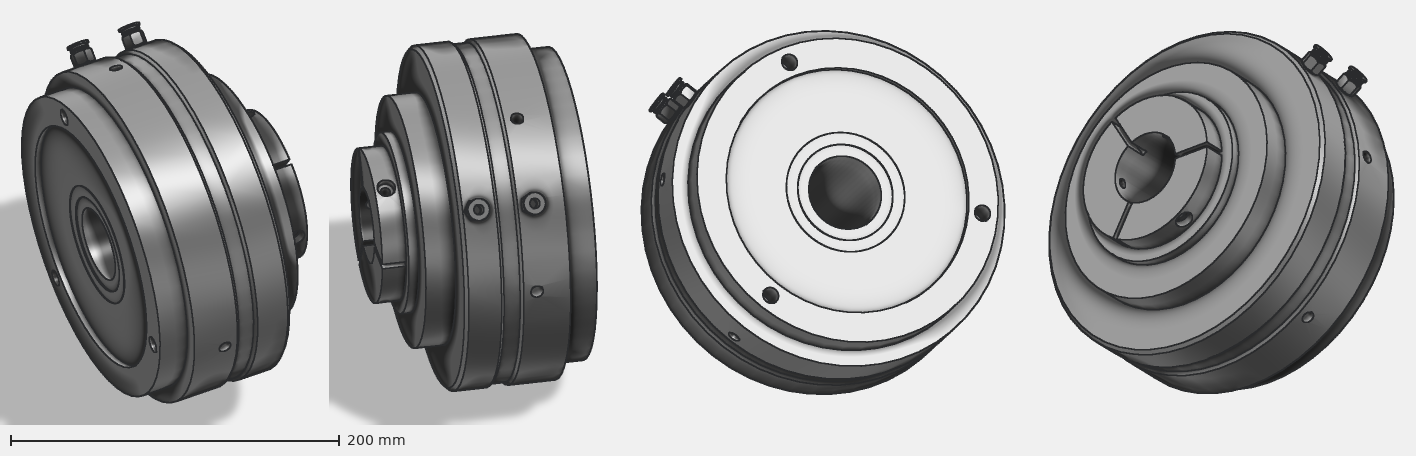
import cadquery as cq
import math


third_turn = 120
sixth_turn = 60
cut_clearance = 2.1

main_radius = 105.9
groove_radius = 104.0
front_boss_radius = 96.0
rear_boss_radius = 77.3
rear_collar_radius = 55.5
front_recess_radius = 77.3
bearing_radius = 37.7

front_boss_end = 18.5
groove_start = 49.3
groove_end = 59.3
main_end = 83.9
rear_boss_end = 102.3
rear_collar_end = 108.5
groove_chamfer = main_radius - groove_radius
rear_chamfer = 2.3

recess_depth = 4.0
bearing_set_back = 0.5
hub_set_back = 0.8

hole_phase = 115.4
mounting_angles = [hole_phase + third_turn * i for i in range(3)]
mounting_circle_radius = 86.2
mounting_hole_diameter = 10.0
mounting_hole_depth = front_boss_end
port_radius = 3.8
port_bottom_radius = 91.0
port_tip_length = 2.1
front_port_y = 39.2
rear_port_y = 74.0
open_port_angles = mounting_angles + [hole_phase + sixth_turn]

hub_outer_radius = 30.3
bore_radius = 23.0
clamp_radius = 47.5
clamp_end = 123.2
clamp_phase = -0.7
slit_width = 3.2
screw_head_radius = 5.5
screw_radius = 3.0
screw_seat_radius = 41.7

fitting_angle = hole_phase + sixth_turn / 2
hex_corner_radius = 7.0
hex_bottom = 106.7
hex_top = 115.0
hex_corner_chamfer = 0.8
neck_radius = 4.9
ring_radius = 5.7
ring_bottom = 116.3
ring_top = 117.3
cap_radius = 6.8
cap_bottom = 118.8
cap_top = 120.0
tube_hole_diameter = 6.1


def turned(outline, plane="XY"):
    """Revolve (radius, height) points about the plane's vertical axis: Y for "XY", Z for "XZ"."""
    return cq.Workplane(plane).polyline(outline).close().revolve(360, (0, 0, 0), (0, 1, 0))


def radial_plane(angle, y):
    """Plane through the Y axis at height y, facing outward at the angle; its local x runs along +Y."""
    a = math.radians(angle)
    return cq.Plane(origin=(0, y, 0), xDir=(0, 1, 0), normal=(math.cos(a), 0, math.sin(a)))


def radial_cylinder(angle, y, radius, start, end):
    """Cylinder pointing outward from the Y axis, between two distances from it."""
    return cq.Workplane(radial_plane(angle, y)).workplane(offset=start).circle(radius).extrude(end - start)


def port_hole(angle, y):
    """Drilled radial hole with a conical bottom."""
    bore = radial_cylinder(angle, y, port_radius, port_bottom_radius, main_radius + cut_clearance)
    tip = cq.Solid.makeCone(0, port_radius, port_tip_length)
    tip_start = port_bottom_radius - port_tip_length
    tip_plane = cq.Workplane(radial_plane(angle, y)).workplane(offset=tip_start).plane
    return bore.union(cq.Workplane(tip.moved(cq.Location(tip_plane))))


def make_housing():
    bearing_face = recess_depth + bearing_set_back
    body = turned([
        (hub_outer_radius, bearing_face),
        (bearing_radius, bearing_face),
        (bearing_radius, recess_depth),
        (front_recess_radius, recess_depth),
        (front_recess_radius, 0),
        (front_boss_radius, 0),
        (front_boss_radius, front_boss_end),
        (main_radius, front_boss_end),
        (main_radius, groove_start - groove_chamfer),
        (groove_radius, groove_start),
        (groove_radius, groove_end),
        (main_radius, groove_end + groove_chamfer),
        (main_radius, main_end - rear_chamfer),
        (main_radius - rear_chamfer, main_end),
        (rear_boss_radius, main_end),
        (rear_boss_radius, rear_boss_end),
        (rear_collar_radius, rear_boss_end),
        (rear_collar_radius, rear_collar_end),
        (hub_outer_radius, rear_collar_end),
    ]).rotate((0, 0, 0), (0, 1, 0), -hole_phase)

    for angle in mounting_angles:
        a = math.radians(angle)
        hole = cq.Solid.makeCylinder(
            mounting_hole_diameter / 2,
            mounting_hole_depth,
            cq.Vector(mounting_circle_radius * math.cos(a), 0, mounting_circle_radius * math.sin(a)),
            cq.Vector(0, 1, 0),
        )
        body = body.cut(cq.Workplane(hole))

    ports = [(angle, front_port_y) for angle in open_port_angles]
    ports += [(fitting_angle, front_port_y), (fitting_angle, rear_port_y)]
    for angle, y in ports:
        body = body.cut(port_hole(angle, y))
    return body


def make_hub():
    hub_front = recess_depth + bearing_set_back + hub_set_back
    body = turned([
        (bore_radius, hub_front),
        (hub_outer_radius, hub_front),
        (hub_outer_radius, rear_collar_end),
        (clamp_radius, rear_collar_end),
        (clamp_radius, clamp_end),
        (bore_radius, clamp_end),
    ])

    clamp_length = clamp_end - rear_collar_end
    clamp_mid = rear_collar_end + clamp_length / 2
    clamp_reach = clamp_radius + cut_clearance
    for i in range(3):
        screw_angle = clamp_phase + third_turn * i
        slit_angle = screw_angle + sixth_turn
        slit = (
            cq.Workplane(radial_plane(slit_angle, clamp_mid))
            .rect(clamp_length, slit_width)
            .extrude(clamp_reach)
        )
        body = body.cut(slit)
        body = body.cut(radial_cylinder(screw_angle, clamp_mid, screw_radius, 0, clamp_reach))
        counterbore = radial_cylinder(
            screw_angle, clamp_mid, screw_head_radius, screw_seat_radius, clamp_reach
        )
        body = body.cut(counterbore)
    return body


def make_fitting(y, hex_turn):
    """Air fitting with its stem in the straight part of a port; hex_turn rotates its hexagon."""
    bevel_radius = hex_corner_radius - hex_corner_chamfer
    hexagon = (
        cq.Workplane("XY")
        .workplane(offset=hex_bottom)
        .polygon(6, 2 * hex_corner_radius)
        .extrude(hex_top - hex_bottom)
        .rotate((0, 0, 0), (0, 0, 1), hex_turn)
    )
    bevel = turned([
        (0, hex_bottom),
        (bevel_radius, hex_bottom),
        (hex_corner_radius, hex_bottom + hex_corner_chamfer),
        (hex_corner_radius, hex_top - hex_corner_chamfer),
        (bevel_radius, hex_top),
        (0, hex_top),
    ], "XZ")
    turned_parts = turned([
        (0, port_bottom_radius),
        (port_radius, port_bottom_radius),
        (port_radius, hex_bottom),
        (neck_radius, hex_bottom),
        (neck_radius, ring_bottom),
        (ring_radius, ring_bottom),
        (ring_radius, ring_top),
        (neck_radius, ring_top),
        (neck_radius, cap_bottom),
        (cap_radius, cap_bottom),
        (cap_radius, cap_top),
        (0, cap_top),
    ], "XZ")
    tube_hole = (
        cq.Workplane("XY")
        .workplane(offset=hex_bottom)
        .circle(tube_hole_diameter / 2)
        .extrude(cap_top - hex_bottom)
    )
    fitting = hexagon.intersect(bevel).union(turned_parts).cut(tube_hole)
    return fitting.val().moved(cq.Location(radial_plane(fitting_angle, y)))


housing = make_housing()
hub = make_hub()
fitting_places = [(front_port_y, sixth_turn / 2), (rear_port_y, 0)]
fittings = [make_fitting(y, hex_turn) for y, hex_turn in fitting_places]

result = cq.Compound.makeCompound([housing.val(), hub.val(), *fittings])